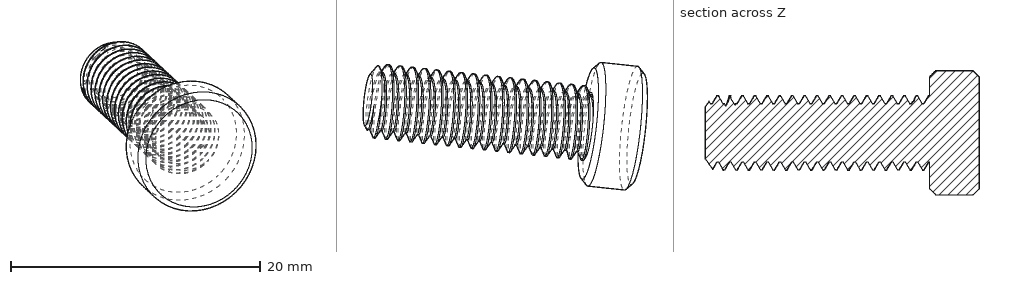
import cadquery as cq
import math

total_length = 22.0
head_diameter = 10.0
head_height = 4.0
head_chamfer = 0.5
shank_length = total_length - head_height

major_diameter = 6.0
root_diameter = 4.7
thread_turns = 18
pitch = shank_length / thread_turns
flank_half_angle = 30.0
crest_width = pitch / 8
ridge_embed = 0.02
runout_turns = 1
envelope_radius = 3.95
head_overlap = 0.22

tip_diameter = 4.18
tip_cone_length = 0.64


def make_shank_envelope():
    """Space the shank may fill: a wide cylinder that narrows to the conical tip."""
    cone_slope = (major_diameter - tip_diameter) / 2 / tip_cone_length
    cone_end = (envelope_radius - tip_diameter / 2) / cone_slope
    return (
        cq.Workplane("XY")
        .lineTo(0, tip_diameter / 2)
        .lineTo(cone_end, envelope_radius)
        .lineTo(shank_length + head_overlap, envelope_radius)
        .lineTo(shank_length + head_overlap, 0)
        .close()
        .revolve(360, (0, 0, 0), (1, 0, 0))
    )


def make_thread_ridge():
    """Right-handed ridge whose crest passes through +Y at whole pitches."""
    crest_radius = major_diameter / 2
    base_radius = root_diameter / 2 - ridge_embed
    crest_half_width = crest_width / 2
    flank_slope = math.tan(math.radians(flank_half_angle))
    base_half_width = crest_half_width + (crest_radius - base_radius) * flank_slope

    turns = thread_turns + 2 * runout_turns
    helix = cq.Wire.makeHelix(pitch, turns * pitch, base_radius)
    ridge = (
        cq.Workplane("XZ")
        .polyline([
            (base_radius, -base_half_width),
            (crest_radius, -crest_half_width),
            (crest_radius, crest_half_width),
            (base_radius, base_half_width),
        ])
        .close()
        .sweep(cq.Workplane(helix), isFrenet=True)
    )
    return (
        ridge
        .rotate((0, 0, 0), (0, 0, 1), 90)
        .rotate((0, 0, 0), (0, 1, 0), 90)
        .translate((-runout_turns * pitch, 0, 0))
    )


def make_threaded_shank():
    """Root rod with the thread ridge, both trimmed to the tip cone and the head."""
    core_start = -(runout_turns + 1) * pitch
    core_length = shank_length + 2 * (runout_turns + 1) * pitch
    core = cq.Workplane("YZ", origin=(core_start, 0, 0)).circle(root_diameter / 2).extrude(core_length)
    return core.union(make_thread_ridge()).intersect(make_shank_envelope())


def make_head():
    """Cylindrical head chamfered on both rims."""
    return (
        cq.Workplane("YZ", origin=(shank_length, 0, 0))
        .circle(head_diameter / 2)
        .extrude(head_height)
        .edges()
        .chamfer(head_chamfer)
    )


result = make_head().union(make_threaded_shank())